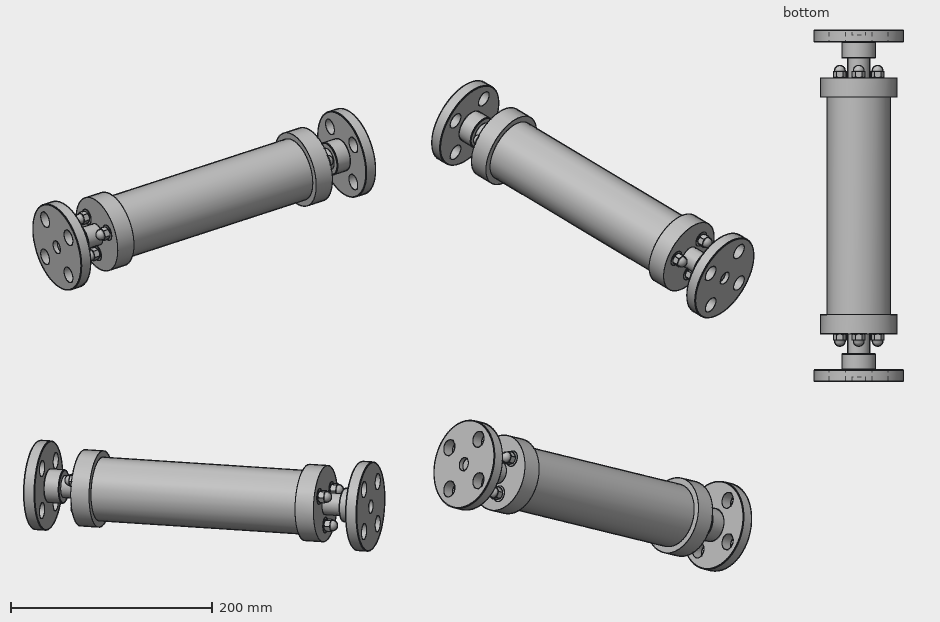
import cadquery as cq
import math

overall_length = 349.2

flange_diameter = 89.0
flange_thickness = 12.0
flange_chamfer = 0.7
bolt_hole_diameter = 16.0
bolt_hole_spacing = 42.5
bore_diameter = 13.3
bore_depth = 5.0

hub_diameter = 33.5
hub_end_setback = 28.0
hub_chamfer = 0.7
pipe_diameter = 22.0

cap_diameter = 76.0
cap_setback = 47.5
cap_length = 19.2
tube_diameter = 63.5

nut_count = 3
nut_circle_radius = 21.5
nut_across_flats = 11.2
nut_hex_height = 6.3
nut_base_chamfer = 1.5
dome_diameter = 11.0
dome_straight = 0.7
first_nut_angle = 30.0

recess_diameter = 15.7
recess_depth = 0.5

half_length = overall_length / 2
cap_face = half_length - cap_setback


def cylinder_along_y(diameter, y_start, y_end):
    """Solid cylinder on the Y axis between two Y positions."""
    plane = cq.Workplane("XZ", origin=(0, y_start, 0))
    return plane.circle(diameter / 2).extrude(y_start - y_end)


def make_flange():
    """Drilled flange, chamfered on both rims."""
    inner_face = half_length - flange_thickness
    flange = cylinder_along_y(flange_diameter, inner_face, half_length)
    flange = flange.faces("<Y or >Y").chamfer(flange_chamfer)
    holes = (
        cq.Workplane("XZ", origin=(0, half_length, 0))
        .rect(bolt_hole_spacing, bolt_hole_spacing, forConstruction=True)
        .vertices()
        .circle(bolt_hole_diameter / 2)
        .extrude(flange_thickness)
    )
    return flange.cut(holes)


def make_neck():
    """Pipe with a thicker hub next to the flange, chamfered at both ends."""
    hub = cylinder_along_y(hub_diameter, half_length - hub_end_setback, half_length - flange_thickness)
    hub = hub.faces("<Y or >Y").chamfer(hub_chamfer)
    pipe = cylinder_along_y(pipe_diameter, cap_face, half_length - hub_end_setback)
    return hub.union(pipe)


def nut_position(index):
    """X and Z of a nut axis on the bolt circle."""
    angle = math.radians(first_nut_angle + index * 360 / nut_count)
    return nut_circle_radius * math.cos(angle), nut_circle_radius * math.sin(angle)


def make_recess(x, z):
    """Round pocket volume around a nut, sunk into the cap face."""
    return cq.Workplane("XZ", origin=(x, cap_face, z)).circle(recess_diameter / 2).extrude(recess_depth)


def make_nut(x, z):
    """Hexagonal nut with a bevelled base and a domed end, standing on the recess floor."""
    across_corners = nut_across_flats / math.cos(math.radians(30))
    floor = cap_face - recess_depth
    hex_length = recess_depth + nut_hex_height
    base = cq.Workplane("XZ", origin=(x, floor, z))
    hexagon = base.polygon(6, across_corners).extrude(-hex_length)
    bevel_envelope = base.circle(across_corners / 2).extrude(-hex_length)
    bevel_envelope = bevel_envelope.faces("<Y").chamfer(nut_base_chamfer)
    hexagon = hexagon.intersect(bevel_envelope)
    radius = dome_diameter / 2
    barrel = cq.Workplane("XZ", origin=(x, floor + hex_length, z)).circle(radius).extrude(-dome_straight)
    dome_center = cq.Vector(x, floor + hex_length + dome_straight, z)
    ball = cq.Workplane("XY").sphere(radius).translate(dome_center)
    return hexagon.union(barrel).union(ball)


def make_end():
    """Complete fitting for the +Y end."""
    end = cylinder_along_y(cap_diameter, cap_face - cap_length, cap_face)
    end = end.union(make_neck()).union(make_flange())
    for index in range(nut_count):
        x, z = nut_position(index)
        end = end.cut(make_recess(x, z)).union(make_nut(x, z))
    return end.cut(cylinder_along_y(bore_diameter, half_length - bore_depth, half_length))


tube_end = cap_face - cap_length
tube = cylinder_along_y(tube_diameter, -tube_end, tube_end)
end_fitting = make_end()
result = tube.union(end_fitting).union(end_fitting.mirror("XZ"))